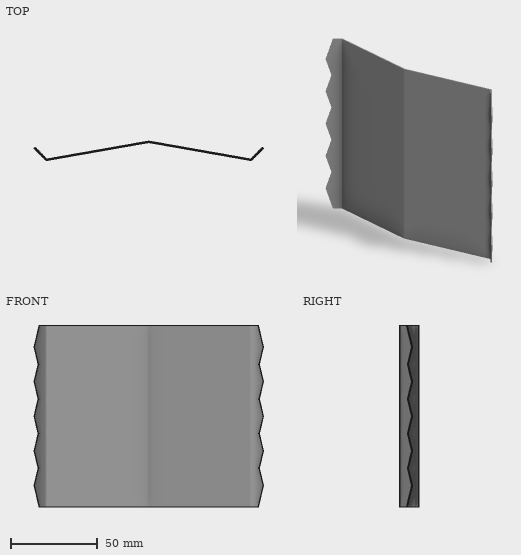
import cadquery as cq
import math

WIDTH = 132.5
DEPTH = 11.1
HEIGHT = 105.0
THICKNESS = 0.8
INNER_RADIUS = 0.5
WEB_ANGLE = math.radians(10)
FLANGE_ANGLE = math.radians(45)
TOOTH_COUNT = 5
TOOTH_PITCH = 20.0
TOOTH_DEPTH = 2.4

OUTER_RADIUS = INNER_RADIUS + THICKNESS
RIDGE_CENTRE = (0, DEPTH - OUTER_RADIUS)

BEND_X = -(
    RIDGE_CENTRE[1] * math.cos(WEB_ANGLE)
    + INNER_RADIUS
    + OUTER_RADIUS * (1 - math.cos(WEB_ANGLE))
) / math.sin(WEB_ANGLE)
BEND_CENTRE = (BEND_X, OUTER_RADIUS)


def arc_point(centre, radius, angle):
    """Point on a bend, with the angle measured from +X."""
    return (centre[0] + radius * math.cos(angle), centre[1] + radius * math.sin(angle))


DOWN = -math.pi / 2
UP = math.pi / 2
FLANGE_SIDE = DOWN - FLANGE_ANGLE
WEB_SIDE = DOWN + WEB_ANGLE
RIDGE_SIDE = UP + WEB_ANGLE

flange_start = arc_point(BEND_CENTRE, OUTER_RADIUS, FLANGE_SIDE)
tip_x = -WIDTH / 2
tip_outer = (tip_x, flange_start[1] + (flange_start[0] - tip_x) * math.tan(FLANGE_ANGLE))
tip_inner = (
    tip_outer[0] + THICKNESS * math.sin(FLANGE_ANGLE),
    tip_outer[1] + THICKNESS * math.cos(FLANGE_ANGLE),
)


def left_sheet():
    """Left half of the folded sheet, with a straight flange edge."""
    return (
        cq.Workplane("XY")
        .moveTo(*tip_outer)
        .lineTo(*flange_start)
        .threePointArc(
            arc_point(BEND_CENTRE, OUTER_RADIUS, DOWN),
            arc_point(BEND_CENTRE, OUTER_RADIUS, WEB_SIDE),
        )
        .lineTo(*arc_point(RIDGE_CENTRE, INNER_RADIUS, RIDGE_SIDE))
        .threePointArc(
            arc_point(RIDGE_CENTRE, INNER_RADIUS, UP + WEB_ANGLE / 2),
            arc_point(RIDGE_CENTRE, INNER_RADIUS, UP),
        )
        .lineTo(*arc_point(RIDGE_CENTRE, OUTER_RADIUS, UP))
        .threePointArc(
            arc_point(RIDGE_CENTRE, OUTER_RADIUS, UP + WEB_ANGLE / 2),
            arc_point(RIDGE_CENTRE, OUTER_RADIUS, RIDGE_SIDE),
        )
        .lineTo(*arc_point(BEND_CENTRE, INNER_RADIUS, WEB_SIDE))
        .threePointArc(
            arc_point(BEND_CENTRE, INNER_RADIUS, DOWN),
            arc_point(BEND_CENTRE, INNER_RADIUS, FLANGE_SIDE),
        )
        .lineTo(*tip_inner)
        .close()
        .extrude(HEIGHT)
    )


def tooth_gaps():
    """Cutter for the V notches and tapered ends, square to the flange face."""
    flange_plane = cq.Plane(
        origin=(tip_outer[0], tip_outer[1], HEIGHT / 2),
        xDir=(math.cos(FLANGE_ANGLE), -math.sin(FLANGE_ANGLE), 0),
        normal=(-math.sin(FLANGE_ANGLE), -math.cos(FLANGE_ANGLE), 0),
    )
    notch_depth = TOOTH_DEPTH / math.cos(FLANGE_ANGLE)
    half_pitch = TOOTH_PITCH / 2
    cutters = cq.Workplane(flange_plane)
    for gap in range(TOOTH_COUNT + 1):
        middle = (gap - TOOTH_COUNT / 2) * TOOTH_PITCH
        low_tip = (0, middle - half_pitch)
        high_tip = (0, middle + half_pitch)
        root = (notch_depth, middle)
        if gap == 0:
            low_tip = (0, middle - TOOTH_PITCH)
            root = (2 * notch_depth, middle - half_pitch)
        elif gap == TOOTH_COUNT:
            high_tip = (0, middle + TOOTH_PITCH)
            root = (2 * notch_depth, middle + half_pitch)
        cutters = cutters.polyline([low_tip, root, high_tip]).close()
    return cutters.extrude(THICKNESS, both=True)


left_half = left_sheet().cut(tooth_gaps())
right_half = left_half.mirror("YZ")
result = left_half.union(right_half)